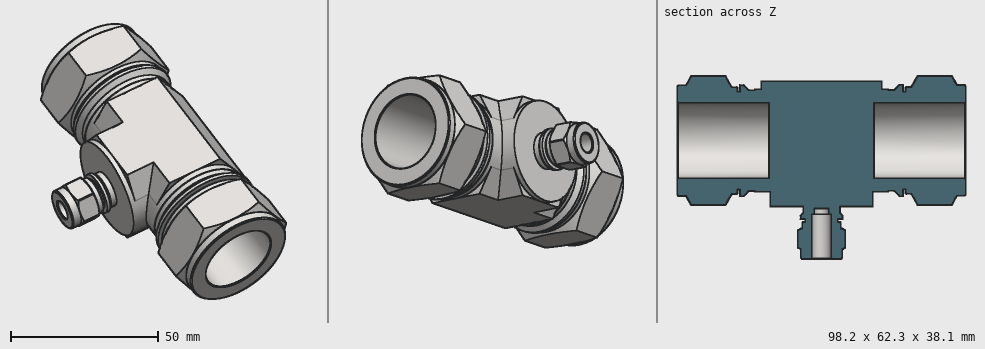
import cadquery as cq
import math

TAN30 = math.tan(math.radians(30))

BODY_FLATS = 34.93
BODY_RADIUS = BODY_FLATS / 2
HEX_REACH = 20.55
TANGENT_OFFSET = BODY_RADIUS * math.cos(math.radians(30))
RUN_SHOULDER = 22.75
BRANCH_SHOULDER = 22.5

OVERALL_LENGTH = 98.19
RUN_END = OVERALL_LENGTH / 2
RUN_NECK_DIA = 34.5
RUN_CONE_START = 24.75
RUN_FLANGE_START = 26.45
RUN_FLANGE_END = 27.75
RUN_FLANGE_DIA = 38.0
RUN_GROOVE_DIA = 33.34
RUN_COLLAR_START = 28.5
RUN_COLLAR_DIA = 36.5
RUN_COLLAR_CHAMFER = 0.35
RUN_NUT_FLATS = 38.1
RUN_NUT_START = 30.5
RUN_NUT_END = 46.05
RUN_NUT_FACE_DIA = 38.0
RUN_NOSE_DIA = 37.8
RUN_NOSE_CHAMFER = 0.4
RUN_BORE_DIA = 25.6
RUN_BORE_DEPTH = 31.2
RUN_BORE_CHAMFER = 0.3

OVERALL_DEPTH = 62.34
BRANCH_END = OVERALL_DEPTH - RUN_NUT_FLATS / math.sqrt(3)
BRANCH_NECK_DIA = 12.7
BRANCH_CONE_START = 24.65
BRANCH_FLANGE_START = 25.55
BRANCH_FLANGE_END = 26.75
BRANCH_FLANGE_DIA = 14.4
BRANCH_GROOVE_DIA = 11.11
BRANCH_COLLAR_START = 27.7
BRANCH_COLLAR_DIA = 13.2
BRANCH_COLLAR_CHAMFER = 0.25
BRANCH_NUT_FLATS = 14.29
BRANCH_NUT_CORNER_DIA = 16.3
BRANCH_NUT_START = 29.85
BRANCH_NUT_END = 37.1
BRANCH_NUT_FACE_DIA = 14.0
BRANCH_NOSE_DIA = 14.2
BRANCH_NOSE_CHAMFER = 0.4
BRANCH_BORE_DIA = 6.55
BRANCH_BORE_DEPTH = 15.2
BRANCH_BORE_CHAMFER = 0.35
BRANCH_BORE_FLOOR_DIA = 4.83
BRANCH_BORE_FLOOR_DEPTH = 2.0



def turned(profile):
    """Solid of revolution about Z from (radius, height) points, closed along the axis."""
    first_height = profile[0][1]
    last_height = profile[-1][1]
    points = [(0, first_height)] + profile + [(0, last_height)]
    return cq.Workplane("XZ").polyline(points).close().revolve(360, (0, 0), (0, 1))


def hexagon(flats, start, end):
    """Hexagonal prism along Z with its corners on the X axis."""
    corner_dia = flats * 2 / math.sqrt(3)
    return cq.Workplane("XY").workplane(offset=start).polygon(6, corner_dia).extrude(end - start)


def nut_hexagon(flats, corner_dia, start, end, start_face_dia, end_face_dia):
    """Nut hexagon with 30 degree turned chamfers on both faces."""
    corner = corner_dia / 2
    start_face = start_face_dia / 2
    end_face = end_face_dia / 2
    envelope = turned([
        (start_face, start),
        (corner, start + (corner - start_face) * TAN30),
        (corner, end - (corner - end_face) * TAN30),
        (end_face, end),
    ])
    return hexagon(flats, start, end).intersect(envelope)


def turned_end(shoulder, neck, cone, flange_start, flange_end, flange, groove,
               collar_start, collar, collar_chamfer, end, nose, nose_chamfer):
    """Round parts of one fitting end: neck, coned flange, groove, nut collar and nose."""
    nut_middle = (collar_start + end) / 2
    return turned([
        (neck / 2, shoulder),
        (neck / 2, cone),
        (flange / 2, flange_start),
        (flange / 2, flange_end),
        (groove / 2, flange_end),
        (groove / 2, collar_start),
        (collar / 2 - collar_chamfer, collar_start),
        (collar / 2, collar_start + collar_chamfer),
        (collar / 2, nut_middle),
        (nose / 2, nut_middle),
        (nose / 2, end - nose_chamfer),
        (nose / 2 - nose_chamfer, end),
    ])


def chamfered_bore(diameter, chamfer, depth, end):
    """Blind bore running down from the fitting end, with a chamfered mouth."""
    return turned([
        (diameter / 2, end - depth),
        (diameter / 2, end - chamfer),
        (diameter / 2 + chamfer, end),
    ])


def run_fitting():
    round_parts = turned_end(
        shoulder=RUN_SHOULDER,
        neck=RUN_NECK_DIA,
        cone=RUN_CONE_START,
        flange_start=RUN_FLANGE_START,
        flange_end=RUN_FLANGE_END,
        flange=RUN_FLANGE_DIA,
        groove=RUN_GROOVE_DIA,
        collar_start=RUN_COLLAR_START,
        collar=RUN_COLLAR_DIA,
        collar_chamfer=RUN_COLLAR_CHAMFER,
        end=RUN_END,
        nose=RUN_NOSE_DIA,
        nose_chamfer=RUN_NOSE_CHAMFER,
    )
    corner_dia = RUN_NUT_FLATS * 2 / math.sqrt(3)
    nut = nut_hexagon(RUN_NUT_FLATS, corner_dia, RUN_NUT_START, RUN_NUT_END,
                      RUN_COLLAR_DIA, RUN_NUT_FACE_DIA)
    return round_parts.union(nut)


def branch_fitting():
    round_parts = turned_end(
        shoulder=BRANCH_SHOULDER,
        neck=BRANCH_NECK_DIA,
        cone=BRANCH_CONE_START,
        flange_start=BRANCH_FLANGE_START,
        flange_end=BRANCH_FLANGE_END,
        flange=BRANCH_FLANGE_DIA,
        groove=BRANCH_GROOVE_DIA,
        collar_start=BRANCH_COLLAR_START,
        collar=BRANCH_COLLAR_DIA,
        collar_chamfer=BRANCH_COLLAR_CHAMFER,
        end=BRANCH_END,
        nose=BRANCH_NOSE_DIA,
        nose_chamfer=BRANCH_NOSE_CHAMFER,
    )
    nut = nut_hexagon(BRANCH_NUT_FLATS, BRANCH_NUT_CORNER_DIA, BRANCH_NUT_START,
                      BRANCH_NUT_END, BRANCH_NUT_FACE_DIA, BRANCH_NUT_FACE_DIA)
    return round_parts.union(nut)


def run_bore():
    return chamfered_bore(RUN_BORE_DIA, RUN_BORE_CHAMFER, RUN_BORE_DEPTH, RUN_END)


def branch_bore():
    tube_socket = chamfered_bore(BRANCH_BORE_DIA, BRANCH_BORE_CHAMFER,
                                 BRANCH_BORE_DEPTH, BRANCH_END)
    floor_bottom = BRANCH_END - BRANCH_BORE_DEPTH - BRANCH_BORE_FLOOR_DEPTH
    floor_hole = (
        cq.Workplane("XY").workplane(offset=floor_bottom)
        .circle(BRANCH_BORE_FLOOR_DIA / 2)
        .extrude(BRANCH_BORE_FLOOR_DEPTH)
    )
    return tube_socket.union(floor_hole)


def toward_right(shape):
    """Turn a shape built along +Z so that it points along +X, corners on Y."""
    return shape.rotate((0, 0, 0), (0, 0, 1), 90).rotate((0, 0, 0), (0, 1, 0), 90)


def toward_left(shape):
    return toward_right(shape).rotate((0, 0, 0), (0, 0, 1), 180)


def toward_front(shape):
    """Turn a shape built along +Z so that it points along -Y, corners on X."""
    return shape.rotate((0, 0, 0), (1, 0, 0), 90)


def tee_body():
    """Hexagonal run and branch; inner corners beyond the tangent lines are turned round."""
    back_corner = BODY_FLATS / math.sqrt(3)
    run_keep = cq.Workplane("XY").box(
        2 * HEX_REACH, TANGENT_OFFSET + back_corner, BODY_FLATS, centered=(True, False, True)
    ).translate((0, -TANGENT_OFFSET, 0))
    run_hex = toward_right(hexagon(BODY_FLATS, -HEX_REACH, HEX_REACH)).intersect(run_keep)
    run_round = toward_right(
        cq.Workplane("XY").circle(BODY_RADIUS).extrude(RUN_SHOULDER, both=True))

    branch_keep = cq.Workplane("XY").box(2 * TANGENT_OFFSET, 2 * HEX_REACH, BODY_FLATS)
    branch_hex = toward_front(hexagon(BODY_FLATS, 0, HEX_REACH)).intersect(branch_keep)
    branch_round = toward_front(cq.Workplane("XY").circle(BODY_RADIUS).extrude(BRANCH_SHOULDER))
    return run_hex.union(run_round).union(branch_hex).union(branch_round)


result = tee_body()
for place in (toward_left, toward_right):
    result = result.union(place(run_fitting()))
    result = result.cut(place(run_bore()))
result = result.union(toward_front(branch_fitting())).cut(toward_front(branch_bore()))